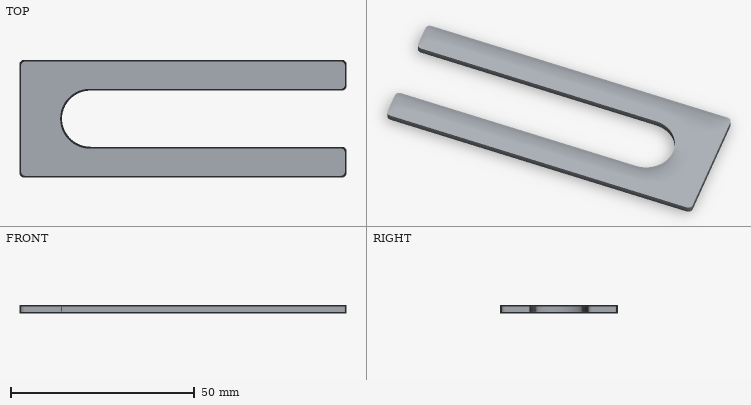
import cadquery as cq

length = 88.9
width = 31.7
thickness = 2.0
slot_width = 15.7
web_length = 11.2
corner_radius = 1.25

slot_radius = slot_width / 2
slot_end_x = -length / 2 + web_length
slot_center_x = slot_end_x + slot_radius
open_end_x = length / 2

plate = cq.Workplane("XY").box(length, width, thickness)

slot = (
    cq.Workplane("XY")
    .workplane(offset=-thickness / 2)
    .moveTo(open_end_x, slot_radius)
    .lineTo(slot_center_x, slot_radius)
    .threePointArc((slot_end_x, 0), (slot_center_x, -slot_radius))
    .lineTo(open_end_x, -slot_radius)
    .close()
    .extrude(thickness)
)

fork = plate.cut(slot)
result = fork.edges("|Z and (<X or >X)").fillet(corner_radius)